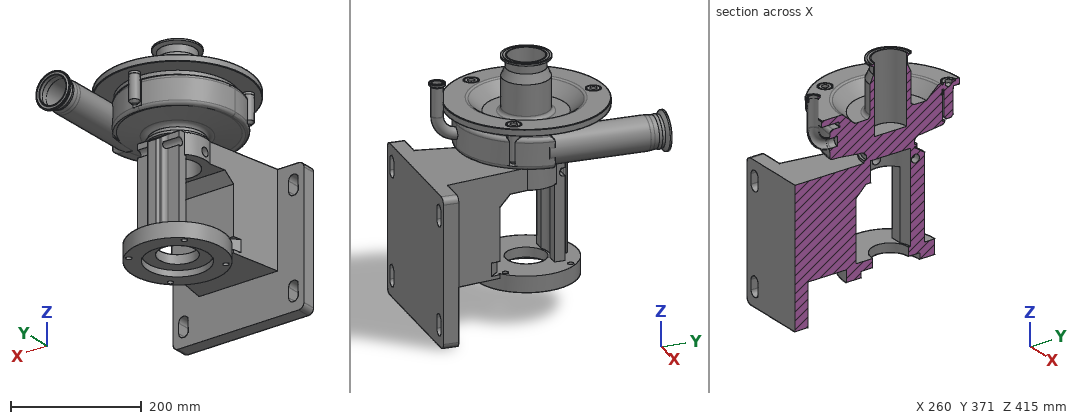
import math

import cadquery as cq


PLATE_SIZE = 250.0
PLATE_THICKNESS = 25.0
PLATE_BACK_Y = -180.0
PLATE_FRONT_Y = PLATE_BACK_Y + PLATE_THICKNESS
PLATE_CORNER_RADIUS = 10.0
SLOT_PITCH_X = 210.0
SLOT_PITCH_Z = 180.0
SLOT_WIDTH = 18.0
SLOT_LENGTH = 36.0

HUB_RADIUS = 53.0
HUB_BORE_RADIUS = 37.0
HUB_FRONT_Y = 35.3
HUB_BOTTOM_Z = 212.5
HUB_TOP_Z = PLATE_SIZE
HUB_HOLE_RADIUS = 7.7
HUB_HOLE_Z = 226.0
WEB_ROOT_HALF_WIDTH = 75.0
WEB_TIP_HALF_WIDTH = 50.5
WEB_TIP_Y = -15.5
WEB_INNER_Y = -64.0
WEB_CHAMFER = 18.0
WEB_BOTTOM_Z = 77.6
NOTCH_DEPTH = 15.0
NOTCH_HEIGHT = 22.0

MOTOR_FLANGE_RADIUS = 83.4
MOTOR_FLANGE_BORE_RADIUS = 33.5
MOTOR_SPIGOT_RADIUS = 55.0
MOTOR_SPIGOT_DEPTH = 11.0
MOTOR_FLANGE_BOTTOM_Z = 56.0
MOTOR_FLANGE_TOP_Z = 83.5
MOTOR_BOLT_CIRCLE_RADIUS = 75.0
MOTOR_BOLT_HOLE_RADIUS = 4.8
MOTOR_BOLT_COUNT = 4
MOTOR_BOLT_START_ANGLE = 45.0

POST_HALF_WIDTH = math.sqrt(HUB_RADIUS**2 - HUB_FRONT_Y**2)
POST_INNER_Y = 31.5
POST_SHOULDER_Y = 49.0
POST_OUTER_Y = 64.7
POST_FILLET = 7.0
POST_RIB_HALF_WIDTH = 12.0
POST_RIB_CHAMFER = 4.0
POST_CHAMFER_Y = 20.0
POST_CHAMFER_Z = 14.0
POST_HOLE_RADIUS = 7.0
POST_HOLE_Y = 47.0
POST_HOLE_Z = 230.0

SPIRAL_STEP = 6.0
SPIRAL_OFFSET_X = 0.8
SPIRAL_FIRST_RADIUS = 99.8
CASING_BOTTOM_Z = 272.8
CASING_TOP_Z = 324.5
CASING_EDGE_FILLET = 6.5
CONE_OUTER_RADIUS = 99.0
CONE_INNER_RADIUS = 57.0
CONE_BOTTOM_Z = 268.0
NECK_RADIUS = 46.0
NECK_CURVE_Z = 262.0
NECK_CURVE_RADIUS = 10.0
NECK_BOTTOM_Z = 254.5
SEAL_DISC_RADIUS = 50.3

COVER_RADIUS = 130.0
COVER_BOTTOM_Z = 333.0
COVER_TOP_Z = 344.5
COVER_CHAMFER = 1.0
COVER_SPIGOT_RADIUS = 97.4
COVER_SPIGOT_BOTTOM_Z = 326.3
COVER_JOINT_RADIUS = 95.5
BOWL_FLOOR_Z = 323.0
BOWL_FLOOR_RADIUS = 67.5
BOWL_RIM_RADIUS = 90.6
BOWL_RIM_ROUNDING = 6.5

BOLT_CIRCLE_RADIUS = 109.3
BOLT_ANGLES = (90.0, 210.0, 330.0)
BOLT_RADIUS = 9.0
BOLT_COLLAR_RADIUS = 9.5
BOLT_COLLAR_HEIGHT = 4.0
BOLT_CLEARANCE_RADIUS = 11.0
BOLT_POCKET_BOTTOM_Z = 279.0
BOLT_TIP_Z = 280.5
BOLT_TIP_CHAMFER = 4.8
BOLT_HEAD_RADIUS = 10.3
BOLT_RECESS_RADIUS = 12.3
BOLT_RECESS_DEPTH = 3.0
BOLT_SOCKET_RADIUS = 5.5
BOLT_SOCKET_DEPTH = 6.0
BOLT_SOCKET_TIP_HEIGHT = 4.0

INLET_TOP_Z = 415.0
INLET_FERRULE_RADIUS = 39.5
INLET_FERRULE_EDGE = 3.0
INLET_FERRULE_BEVEL = 3.0
INLET_NECK_RADIUS = 32.2
INLET_BODY_RADIUS = 39.0
INLET_CONE_TOP_Z = 396.0
INLET_CONE_BOTTOM_Z = 381.0
INLET_ROOT_FILLET = 6.0
INLET_BORE_RADIUS = 30.0
INLET_GROOVE_RADIUS = 33.8
INLET_BORE_BOTTOM_Z = 290.0

OUTLET_X = 94.6
OUTLET_Z = 299.7
OUTLET_START_Y = -6.0
OUTLET_END_Y = 191.0
OUTLET_FERRULE_RADIUS = 32.5
OUTLET_FERRULE_EDGE = 3.0
OUTLET_NECK_START_Y = 182.7
OUTLET_BEAD_Y = 177.5
OUTLET_BEAD_RADIUS = 27.8
OUTLET_NECK_END_Y = 172.7
OUTLET_NECK_RADIUS = 26.5
OUTLET_TAPER_Y = 165.0
OUTLET_TAPER_RADIUS = 27.5
OUTLET_PIPE_START_Y = 158.6
OUTLET_PIPE_RADIUS = 28.2
OUTLET_BORE_RADIUS = 25.0
OUTLET_GROOVE_RADIUS = 28.5
OUTLET_BORE_END_Y = 50.0

GROOVE_WIDTH_LARGE = 4.0
GROOVE_WIDTH_SMALL = 2.0

DRAIN_Y = -144.8
DRAIN_RADIUS = 9.8
DRAIN_BORE_RADIUS = 8.0
DRAIN_GROOVE_RADIUS = 10.5
DRAIN_BEND_RADIUS = 33.0
DRAIN_BEND_TOP_Z = 334.5
DRAIN_TOP_Z = 389.0
DRAIN_FERRULE_RADIUS = 13.0
DRAIN_FERRULE_EDGE = 3.0
DRAIN_FERRULE_BEVEL = 3.0
DRAIN_ROOT_Y = -100.0


def disc(radius, bottom_z, top_z, x=0.0, y=0.0):
    """Upright cylinder between two heights."""
    return cq.Workplane("XY", origin=(x, y, bottom_z)).circle(radius).extrude(top_z - bottom_z)


def cylinder_along_x(radius, start_x, end_x, y, z):
    """Cylinder parallel to X."""
    return cq.Workplane("YZ", origin=(start_x, y, z)).circle(radius).extrude(end_x - start_x)


def revolve_about_z(points):
    """Solid of revolution about Z from (radius, z) points."""
    return cq.Workplane("XZ").polyline(points).close().revolve(360, (0, 0, 0), (0, 1, 0))


def bolt_position(angle):
    """Centre of the cover bolt at an angle measured from +X."""
    return (
        BOLT_CIRCLE_RADIUS * math.cos(math.radians(angle)),
        BOLT_CIRCLE_RADIUS * math.sin(math.radians(angle)),
    )


def make_plate():
    plate = (
        cq.Workplane("XZ", origin=(0, PLATE_FRONT_Y, PLATE_SIZE / 2))
        .rect(PLATE_SIZE, PLATE_SIZE)
        .extrude(PLATE_THICKNESS)
        .edges("|Y")
        .fillet(PLATE_CORNER_RADIUS)
    )
    slots = (
        cq.Workplane("XZ", origin=(0, PLATE_FRONT_Y, PLATE_SIZE / 2))
        .rect(SLOT_PITCH_X, SLOT_PITCH_Z, forConstruction=True)
        .vertices()
        .slot2D(SLOT_LENGTH, SLOT_WIDTH, 90)
        .extrude(PLATE_THICKNESS)
    )
    return plate.cut(slots)


def web_half_width(y):
    """Half width of the tapering web at a given Y."""
    taper = (WEB_ROOT_HALF_WIDTH - WEB_TIP_HALF_WIDTH) / (WEB_TIP_Y - PLATE_FRONT_Y)
    return WEB_ROOT_HALF_WIDTH - taper * (y - PLATE_FRONT_Y)


def make_web():
    side_profile = (
        cq.Workplane("YZ", origin=(-WEB_ROOT_HALF_WIDTH, 0, 0))
        .polyline([
            (PLATE_FRONT_Y, HUB_TOP_Z),
            (WEB_TIP_Y, HUB_TOP_Z),
            (WEB_TIP_Y, HUB_BOTTOM_Z),
            (WEB_INNER_Y + WEB_CHAMFER, HUB_BOTTOM_Z),
            (WEB_INNER_Y, HUB_BOTTOM_Z - WEB_CHAMFER),
            (WEB_INNER_Y, WEB_BOTTOM_Z),
            (PLATE_FRONT_Y, WEB_BOTTOM_Z),
        ])
        .close()
        .extrude(2 * WEB_ROOT_HALF_WIDTH)
    )
    plan = (
        cq.Workplane("XY")
        .polyline([
            (-WEB_ROOT_HALF_WIDTH, PLATE_FRONT_Y),
            (WEB_ROOT_HALF_WIDTH, PLATE_FRONT_Y),
            (WEB_TIP_HALF_WIDTH, WEB_TIP_Y),
            (-WEB_TIP_HALF_WIDTH, WEB_TIP_Y),
        ])
        .close()
        .extrude(HUB_TOP_Z)
    )
    web = side_profile.intersect(plan)
    for side in (-1, 1):
        web = web.cut(make_notch(side))
    return web


def make_notch(side):
    """Clipped web corner that clears a motor flange bolt."""
    notch_end_y = WEB_INNER_Y - NOTCH_DEPTH
    end_x = web_half_width(notch_end_y)
    return (
        cq.Workplane("XY", origin=(0, 0, MOTOR_FLANGE_TOP_Z))
        .polyline([
            (side * (end_x - NOTCH_DEPTH), WEB_INNER_Y),
            (side * end_x, WEB_INNER_Y),
            (side * end_x, notch_end_y),
        ])
        .close()
        .extrude(NOTCH_HEIGHT)
    )


def make_hub():
    hub = disc(HUB_RADIUS, HUB_BOTTOM_Z, HUB_TOP_Z)
    beyond_front = cq.Workplane("XY").box(
        2 * HUB_RADIUS, HUB_RADIUS, HUB_TOP_Z, centered=(True, False, False)
    )
    return hub.cut(beyond_front.translate((0, HUB_FRONT_Y, 0)))


def make_post():
    rib_root_x = POST_RIB_HALF_WIDTH + POST_FILLET
    rib_face_x = POST_RIB_HALF_WIDTH - POST_RIB_CHAMFER
    rib_root_y = POST_SHOULDER_Y + POST_FILLET
    arc_inset = POST_FILLET * (1 - math.sqrt(0.5))
    post = (
        cq.Workplane("XY", origin=(0, 0, MOTOR_FLANGE_BOTTOM_Z))
        .moveTo(-POST_HALF_WIDTH, POST_INNER_Y)
        .lineTo(POST_HALF_WIDTH, POST_INNER_Y)
        .lineTo(POST_HALF_WIDTH, POST_SHOULDER_Y)
        .lineTo(rib_root_x, POST_SHOULDER_Y)
        .threePointArc(
            (POST_RIB_HALF_WIDTH + arc_inset, POST_SHOULDER_Y + arc_inset),
            (POST_RIB_HALF_WIDTH, rib_root_y),
        )
        .lineTo(POST_RIB_HALF_WIDTH, POST_OUTER_Y - POST_RIB_CHAMFER)
        .lineTo(rib_face_x, POST_OUTER_Y)
        .lineTo(-rib_face_x, POST_OUTER_Y)
        .lineTo(-POST_RIB_HALF_WIDTH, POST_OUTER_Y - POST_RIB_CHAMFER)
        .lineTo(-POST_RIB_HALF_WIDTH, rib_root_y)
        .threePointArc(
            (-POST_RIB_HALF_WIDTH - arc_inset, POST_SHOULDER_Y + arc_inset),
            (-rib_root_x, POST_SHOULDER_Y),
        )
        .lineTo(-POST_HALF_WIDTH, POST_SHOULDER_Y)
        .close()
        .extrude(HUB_TOP_Z - MOTOR_FLANGE_BOTTOM_Z)
    )
    top_bevel = (
        cq.Workplane("YZ", origin=(-POST_HALF_WIDTH, 0, 0))
        .polyline([
            (POST_OUTER_Y, HUB_TOP_Z),
            (POST_OUTER_Y - POST_CHAMFER_Y, HUB_TOP_Z),
            (POST_OUTER_Y, HUB_TOP_Z - POST_CHAMFER_Z),
        ])
        .close()
        .extrude(2 * POST_HALF_WIDTH)
    )
    cross_hole = cylinder_along_x(
        POST_HOLE_RADIUS, -POST_HALF_WIDTH, POST_HALF_WIDTH, POST_HOLE_Y, POST_HOLE_Z
    )
    return post.cut(top_bevel).cut(cross_hole)


def make_bracket():
    bracket = make_hub().union(make_web()).union(make_post())
    bracket = bracket.cut(disc(HUB_BORE_RADIUS, MOTOR_FLANGE_TOP_Z, HUB_TOP_Z))
    bracket = bracket.cut(cylinder_along_x(HUB_HOLE_RADIUS, -HUB_RADIUS, 0, 0, HUB_HOLE_Z))
    bracket = bracket.union(disc(MOTOR_FLANGE_RADIUS, MOTOR_FLANGE_BOTTOM_Z, MOTOR_FLANGE_TOP_Z))
    bracket = bracket.cut(
        disc(MOTOR_FLANGE_BORE_RADIUS, MOTOR_FLANGE_BOTTOM_Z, MOTOR_FLANGE_TOP_Z)
    )
    spigot_recess_top_z = MOTOR_FLANGE_BOTTOM_Z + MOTOR_SPIGOT_DEPTH
    bracket = bracket.cut(disc(MOTOR_SPIGOT_RADIUS, MOTOR_FLANGE_BOTTOM_Z, spigot_recess_top_z))
    bolt_holes = (
        cq.Workplane("XY", origin=(0, 0, MOTOR_FLANGE_BOTTOM_Z))
        .polarArray(MOTOR_BOLT_CIRCLE_RADIUS, MOTOR_BOLT_START_ANGLE, 360, MOTOR_BOLT_COUNT)
        .circle(MOTOR_BOLT_HOLE_RADIUS)
        .extrude(MOTOR_FLANGE_TOP_Z - MOTOR_FLANGE_BOTTOM_Z)
    )
    return bracket.cut(bolt_holes).union(make_plate())


def make_spiral():
    """Spiral of four quarter arcs whose centres are the corners of a small square."""
    half_step = SPIRAL_STEP / 2
    centres = [
        (SPIRAL_OFFSET_X - half_step, half_step),
        (SPIRAL_OFFSET_X - half_step, -half_step),
        (SPIRAL_OFFSET_X + half_step, -half_step),
        (SPIRAL_OFFSET_X + half_step, half_step),
    ]
    outline = cq.Workplane("XY", origin=(0, 0, CASING_BOTTOM_Z))
    outline = outline.moveTo(centres[0][0] + SPIRAL_FIRST_RADIUS, centres[0][1])
    for quarter, (centre_x, centre_y) in enumerate(centres):
        radius = SPIRAL_FIRST_RADIUS + quarter * SPIRAL_STEP
        middle = math.radians(45 + 90 * quarter)
        end = math.radians(90 + 90 * quarter)
        outline = outline.threePointArc(
            (centre_x + radius * math.cos(middle), centre_y + radius * math.sin(middle)),
            (centre_x + radius * math.cos(end), centre_y + radius * math.sin(end)),
        )
    spiral = outline.close().extrude(CASING_TOP_Z - CASING_BOTTOM_Z)
    return spiral.faces("<Z or >Z").edges().fillet(CASING_EDGE_FILLET)


def make_casing():
    underside = (
        cq.Workplane("XZ")
        .moveTo(0, CASING_BOTTOM_Z)
        .lineTo(CONE_OUTER_RADIUS, CASING_BOTTOM_Z)
        .lineTo(CONE_INNER_RADIUS, CONE_BOTTOM_Z)
        .radiusArc((NECK_RADIUS, NECK_CURVE_Z), -NECK_CURVE_RADIUS)
        .lineTo(NECK_RADIUS, NECK_BOTTOM_Z)
        .lineTo(SEAL_DISC_RADIUS, NECK_BOTTOM_Z)
        .lineTo(SEAL_DISC_RADIUS, HUB_TOP_Z)
        .lineTo(0, HUB_TOP_Z)
        .close()
        .revolve(360, (0, 0, 0), (0, 1, 0))
    )
    return make_spiral().union(underside)


def make_outlet():
    ferrule_back_y = OUTLET_END_Y - OUTLET_FERRULE_EDGE
    profile = [
        (0, OUTLET_START_Y),
        (OUTLET_PIPE_RADIUS, OUTLET_START_Y),
        (OUTLET_PIPE_RADIUS, OUTLET_PIPE_START_Y),
        (OUTLET_TAPER_RADIUS, OUTLET_TAPER_Y),
        (OUTLET_NECK_RADIUS, OUTLET_NECK_END_Y),
        (OUTLET_BEAD_RADIUS, OUTLET_BEAD_Y),
        (OUTLET_NECK_RADIUS, OUTLET_NECK_START_Y),
        (OUTLET_FERRULE_RADIUS, ferrule_back_y),
        (OUTLET_FERRULE_RADIUS, OUTLET_END_Y),
        (0, OUTLET_END_Y),
    ]
    outlet = cq.Workplane("XY").polyline(profile).close().revolve(360, (0, 0, 0), (0, 1, 0))
    return outlet.translate((OUTLET_X, 0, OUTLET_Z))


def make_outlet_bore():
    return (
        cq.Workplane("XZ", origin=(OUTLET_X, OUTLET_END_Y, OUTLET_Z))
        .circle(OUTLET_BORE_RADIUS)
        .extrude(OUTLET_END_Y - OUTLET_BORE_END_Y)
    )


def make_cover():
    plate = disc(COVER_RADIUS, COVER_BOTTOM_Z, COVER_TOP_Z).edges().chamfer(COVER_CHAMFER)
    spigot = disc(COVER_SPIGOT_RADIUS, COVER_SPIGOT_BOTTOM_Z, COVER_BOTTOM_Z)
    joint = disc(COVER_JOINT_RADIUS, CASING_TOP_Z - CASING_EDGE_FILLET, COVER_SPIGOT_BOTTOM_Z)
    return plate.union(spigot).union(joint)


def make_bowl():
    """Conical recess in the cover; its rim is rounded where it meets the top face."""
    slope = math.atan2(COVER_TOP_Z - BOWL_FLOOR_Z, BOWL_RIM_RADIUS - BOWL_FLOOR_RADIUS)
    tangent_length = BOWL_RIM_ROUNDING * math.tan(slope / 2)
    rounding_end = (
        BOWL_RIM_RADIUS - tangent_length * math.cos(slope),
        COVER_TOP_Z - tangent_length * math.sin(slope),
    )
    return (
        cq.Workplane("XZ")
        .moveTo(0, BOWL_FLOOR_Z)
        .lineTo(BOWL_FLOOR_RADIUS, BOWL_FLOOR_Z)
        .lineTo(*rounding_end)
        .radiusArc((BOWL_RIM_RADIUS + tangent_length, COVER_TOP_Z), BOWL_RIM_ROUNDING)
        .lineTo(0, COVER_TOP_Z)
        .close()
        .revolve(360, (0, 0, 0), (0, 1, 0))
    )


def make_inlet():
    ferrule_back_z = INLET_TOP_Z - INLET_FERRULE_EDGE
    root_z = BOWL_FLOOR_Z
    return (
        cq.Workplane("XZ")
        .moveTo(0, root_z)
        .lineTo(INLET_BODY_RADIUS + INLET_ROOT_FILLET, root_z)
        .radiusArc((INLET_BODY_RADIUS, root_z + INLET_ROOT_FILLET), INLET_ROOT_FILLET)
        .lineTo(INLET_BODY_RADIUS, INLET_CONE_BOTTOM_Z)
        .lineTo(INLET_NECK_RADIUS, INLET_CONE_TOP_Z)
        .lineTo(INLET_NECK_RADIUS, ferrule_back_z - INLET_FERRULE_BEVEL)
        .lineTo(INLET_FERRULE_RADIUS, ferrule_back_z)
        .lineTo(INLET_FERRULE_RADIUS, INLET_TOP_Z)
        .lineTo(0, INLET_TOP_Z)
        .close()
        .revolve(360, (0, 0, 0), (0, 1, 0))
    )


def drain_sweep(radius):
    """Round bar that drops along Z and bends towards the casing."""
    bend_centre_y = DRAIN_Y + DRAIN_BEND_RADIUS
    axis_z = DRAIN_BEND_TOP_Z - DRAIN_BEND_RADIUS
    chord = DRAIN_BEND_RADIUS * math.sqrt(0.5)
    path = (
        cq.Workplane("YZ")
        .moveTo(DRAIN_Y, DRAIN_TOP_Z)
        .lineTo(DRAIN_Y, DRAIN_BEND_TOP_Z)
        .threePointArc(
            (bend_centre_y - chord, DRAIN_BEND_TOP_Z - chord),
            (bend_centre_y, axis_z),
        )
        .lineTo(DRAIN_ROOT_Y, axis_z)
    )
    return cq.Workplane("XY", origin=(0, DRAIN_Y, DRAIN_TOP_Z)).circle(radius).sweep(path)


def make_drain():
    ferrule_back_z = DRAIN_TOP_Z - DRAIN_FERRULE_EDGE
    ferrule = revolve_about_z([
        (0, ferrule_back_z - DRAIN_FERRULE_BEVEL),
        (DRAIN_RADIUS, ferrule_back_z - DRAIN_FERRULE_BEVEL),
        (DRAIN_FERRULE_RADIUS, ferrule_back_z),
        (DRAIN_FERRULE_RADIUS, DRAIN_TOP_Z),
        (0, DRAIN_TOP_Z),
    ])
    return drain_sweep(DRAIN_RADIUS).union(ferrule.translate((0, DRAIN_Y, 0)))


def gasket_groove(mean_radius, width):
    """Ring of round section centred on the XY plane."""
    return (
        cq.Workplane("XZ")
        .center(mean_radius, 0)
        .circle(width / 2)
        .revolve(360, (-mean_radius, 0, 0), (-mean_radius, 1, 0))
    )


def cut_gasket_grooves(body):
    inlet_groove = gasket_groove(INLET_GROOVE_RADIUS, GROOVE_WIDTH_LARGE)
    outlet_groove = gasket_groove(OUTLET_GROOVE_RADIUS, GROOVE_WIDTH_LARGE)
    outlet_groove = outlet_groove.rotate((0, 0, 0), (1, 0, 0), 90)
    drain_groove = gasket_groove(DRAIN_GROOVE_RADIUS, GROOVE_WIDTH_SMALL)
    body = body.cut(inlet_groove.translate((0, 0, INLET_TOP_Z)))
    body = body.cut(outlet_groove.translate((OUTLET_X, OUTLET_END_Y, OUTLET_Z)))
    return body.cut(drain_groove.translate((0, DRAIN_Y, DRAIN_TOP_Z)))


def cut_bolt_pockets(body):
    for angle in BOLT_ANGLES:
        x, y = bolt_position(angle)
        body = body.cut(disc(BOLT_CLEARANCE_RADIUS, BOLT_POCKET_BOTTOM_Z, COVER_BOTTOM_Z, x, y))
    return body


def add_bolts(body):
    recess_bottom_z = COVER_TOP_Z - BOLT_RECESS_DEPTH
    socket_bottom_z = COVER_TOP_Z - BOLT_SOCKET_DEPTH
    socket = revolve_about_z([
        (0, socket_bottom_z - BOLT_SOCKET_TIP_HEIGHT),
        (BOLT_SOCKET_RADIUS, socket_bottom_z),
        (BOLT_SOCKET_RADIUS, COVER_TOP_Z),
        (0, COVER_TOP_Z),
    ])
    for angle in BOLT_ANGLES:
        x, y = bolt_position(angle)
        shank = disc(BOLT_RADIUS, BOLT_TIP_Z, COVER_BOTTOM_Z, x, y)
        shank = shank.faces("<Z").edges().chamfer(BOLT_TIP_CHAMFER)
        collar = disc(BOLT_COLLAR_RADIUS, COVER_BOTTOM_Z - BOLT_COLLAR_HEIGHT, COVER_BOTTOM_Z, x, y)
        recess = disc(BOLT_RECESS_RADIUS, recess_bottom_z, COVER_TOP_Z, x, y)
        recess = recess.cut(disc(BOLT_HEAD_RADIUS, recess_bottom_z, COVER_TOP_Z, x, y))
        body = body.union(shank).union(collar).cut(recess).cut(socket.translate((x, y, 0)))
    return body


def make_pump():
    pump = make_casing().union(make_outlet())
    pump = cut_bolt_pockets(pump)
    pump = pump.union(make_cover()).cut(make_bowl()).union(make_inlet()).union(make_drain())
    pump = add_bolts(pump)
    pump = cut_gasket_grooves(pump)
    pump = pump.cut(disc(INLET_BORE_RADIUS, INLET_BORE_BOTTOM_Z, INLET_TOP_Z))
    return pump.cut(make_outlet_bore()).cut(drain_sweep(DRAIN_BORE_RADIUS))


result = make_bracket().union(make_pump())